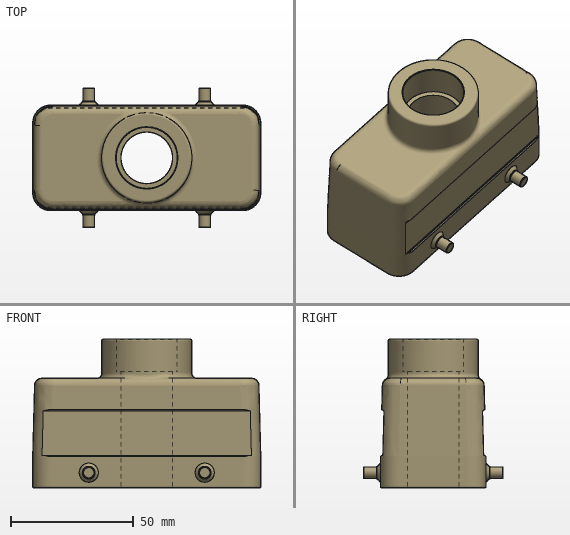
import cadquery as cq
import math

LENGTH = 93.5
WIDTH = 43.3
CORNER_RADIUS = 7.5
BASE_HEIGHT = 13.0
BODY_TOP = 44.9
DRAFT_ANGLE = 1.5
TOP_FILLET = 3.1
BOTTOM_FILLET = 0.5

PANEL_BOTTOM = 13.3
PANEL_TOP = 31.4
PANEL_DEPTH = 0.9
PANEL_TOP_RISE = 0.7
PANEL_LEDGE_BEVEL = 0.5

TOTAL_HEIGHT = 61.0
COLLAR_DIAMETER = 37.0
COLLAR_TOP_FILLET = 0.9
COLLAR_FOOT_FILLET = 2.0
BORE_DIAMETER = 25.0
BORE_DEPTH = 13.4
BORE_CHAMFER = 0.3
HOLE_DIAMETER = 21.0

PIN_SPAN = 57.2
PIN_X = 23.75
PIN_Z = 6.2
PIN_DIAMETER = 4.9
PIN_TIP_CHAMFER = 0.3
PIN_NECK_DIAMETER = 5.2
PIN_NECK_END = 1.7
PIN_CONE_DIAMETER = 7.9
PIN_CONE_LENGTH = 1.3
PIN_EMBED = 0.9

SELECTION_MARGIN = 0.5

DRAFT_SLOPE = math.tan(math.radians(DRAFT_ANGLE))


def rounded_outline(inset):
    """Rounded rectangle of the hood, moved inward by inset, with a constant corner radius."""
    return cq.Sketch().rect(LENGTH - 2 * inset, WIDTH - 2 * inset).vertices().fillet(CORNER_RADIUS)


def make_hood():
    """Straight base with a drafted body on it, rounded along the top and bottom edges."""
    base = cq.Workplane("XY").placeSketch(rounded_outline(0)).extrude(BASE_HEIGHT)
    base = base.faces("<Z").edges().fillet(BOTTOM_FILLET)
    body_height = BODY_TOP - BASE_HEIGHT
    top_inset = body_height * DRAFT_SLOPE
    body = (
        cq.Workplane("XY", origin=(0, 0, BASE_HEIGHT))
        .placeSketch(
            rounded_outline(0),
            rounded_outline(top_inset).moved(cq.Location(cq.Vector(0, 0, body_height))),
        )
        .loft(ruled=True)
    )
    body = body.faces(">Z").edges().fillet(TOP_FILLET)
    return base.union(body)


def panel_y(z):
    """Distance of the recessed flat from the middle plane at height z."""
    return WIDTH / 2 - PANEL_DEPTH - (z - BASE_HEIGHT) * DRAFT_SLOPE


def make_panel_cutter():
    """Bar that cuts a flat parallel to the drafted front wall.

    The upper edge slopes up and outward. The lower edge is a level ledge with a 45-degree bevel.
    """
    bottom_y = panel_y(PANEL_BOTTOM)
    top_y = panel_y(PANEL_TOP)
    bevel_y = WIDTH / 2 - PANEL_LEDGE_BEVEL
    outside_y = WIDTH / 2 + PANEL_DEPTH
    bevel_bottom = PANEL_BOTTOM - (outside_y - bevel_y)
    outer_top = PANEL_TOP + (outside_y - top_y) * PANEL_TOP_RISE / PANEL_DEPTH
    return (
        cq.Workplane("YZ")
        .polyline([
            (-bottom_y, PANEL_BOTTOM),
            (-bevel_y, PANEL_BOTTOM),
            (-outside_y, bevel_bottom),
            (-outside_y, outer_top),
            (-top_y, PANEL_TOP),
        ])
        .close()
        .extrude(LENGTH / 2, both=True)
    )


def add_collar(hood):
    """Round collar on the roof, blended into it at the foot."""
    collar_base = BODY_TOP - TOP_FILLET
    collar = (
        cq.Workplane("XY", origin=(0, 0, collar_base))
        .circle(COLLAR_DIAMETER / 2)
        .extrude(TOTAL_HEIGHT - collar_base)
        .faces(">Z").edges().fillet(COLLAR_TOP_FILLET)
    )
    joined = hood.union(collar)
    reach = COLLAR_DIAMETER / 2 + SELECTION_MARGIN
    foot = cq.selectors.BoxSelector(
        (-reach, -reach, BODY_TOP - SELECTION_MARGIN),
        (reach, reach, BODY_TOP + SELECTION_MARGIN),
        boundingbox=True,
    )
    return joined.edges(foot).fillet(COLLAR_FOOT_FILLET)


def make_bore():
    """Stepped vertical opening with a small chamfer at its mouth."""
    hole_radius = HOLE_DIAMETER / 2
    bore_radius = BORE_DIAMETER / 2
    bore_floor = TOTAL_HEIGHT - BORE_DEPTH
    return (
        cq.Workplane("XZ")
        .polyline([
            (0, 0),
            (hole_radius, 0),
            (hole_radius, bore_floor),
            (bore_radius, bore_floor),
            (bore_radius, TOTAL_HEIGHT - BORE_CHAMFER),
            (bore_radius + BORE_CHAMFER, TOTAL_HEIGHT),
            (0, TOTAL_HEIGHT),
        ])
        .close()
        .revolve(360, (0, 0, 0), (0, 1, 0))
    )


def make_pin():
    """Pin along -Y, with a conical foot and a short neck at the wall, centred on X = 0."""
    wall = -WIDTH / 2
    tip = -PIN_SPAN / 2
    pin_radius = PIN_DIAMETER / 2
    neck_radius = PIN_NECK_DIAMETER / 2
    foot_radius = PIN_CONE_DIAMETER / 2
    return (
        cq.Workplane("XY")
        .polyline([
            (0, wall + PIN_EMBED),
            (foot_radius, wall + PIN_EMBED),
            (foot_radius, wall),
            (neck_radius, wall - PIN_CONE_LENGTH),
            (neck_radius, wall - PIN_NECK_END),
            (pin_radius, wall - PIN_NECK_END),
            (pin_radius, tip + PIN_TIP_CHAMFER),
            (pin_radius - PIN_TIP_CHAMFER, tip),
            (0, tip),
        ])
        .close()
        .revolve(360, (0, 0, 0), (0, 1, 0))
        .translate((0, 0, PIN_Z))
    )


result = add_collar(make_hood())

panel_cutter = make_panel_cutter()
result = result.cut(panel_cutter).cut(panel_cutter.mirror("XZ"))

pin = make_pin()
for pin_x in (-PIN_X, PIN_X):
    placed_pin = pin.translate((pin_x, 0, 0))
    result = result.union(placed_pin).union(placed_pin.mirror("XZ"))

result = result.cut(make_bore())